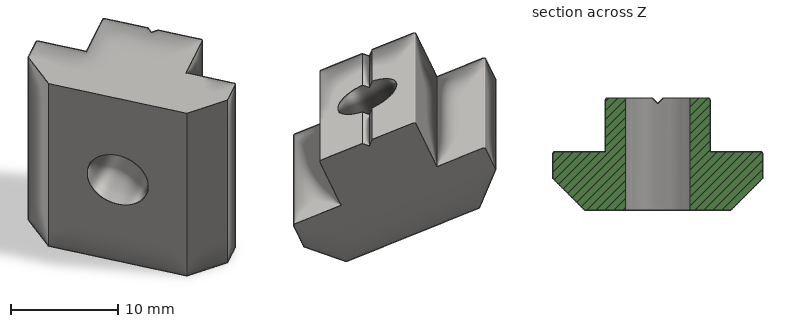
import cadquery as cq

width = 19.6
depth = 10.5
height = 20.0

neck_width = 9.8
neck_depth = 5.0
bevel = 3.0
edge_radius = 0.2

groove_depth = 0.5
groove_half_width = groove_depth

hole_diameter = 6.0

front_y = -depth / 2
back_y = depth / 2
shoulder_y = back_y - neck_depth


def make_body():
    """Extrude the T-shaped section along Z and round its rear outer edges."""
    half_width = width / 2
    half_neck = neck_width / 2
    half_outline = [
        (half_width - bevel, front_y),
        (half_width, front_y + bevel),
        (half_width, shoulder_y),
        (half_neck, shoulder_y),
        (half_neck, back_y),
    ]
    mirrored_half = [(-x, y) for x, y in reversed(half_outline)]
    body = (
        cq.Workplane("XY")
        .polyline(half_outline + mirrored_half)
        .close()
        .extrude(height)
        .translate((0, 0, -height / 2))
    )
    for x, y in [(half_width, shoulder_y), (half_neck, back_y)]:
        for side in (-1, 1):
            corner = cq.selectors.NearestToPointSelector((side * x, y, 0))
            body = body.edges(corner).fillet(edge_radius)
    return body


def make_groove():
    """V-shaped prism that marks the middle of the neck face."""
    return (
        cq.Workplane("XY")
        .polyline([
            (-groove_half_width, back_y),
            (0, back_y - groove_depth),
            (groove_half_width, back_y),
        ])
        .close()
        .extrude(height)
        .translate((0, 0, -height / 2))
    )


def make_hole():
    """Cylinder through the full depth, on the centre of the front face."""
    return (
        cq.Workplane("XZ", origin=(0, back_y, 0))
        .circle(hole_diameter / 2)
        .extrude(depth)
    )


result = make_body().cut(make_groove()).cut(make_hole())